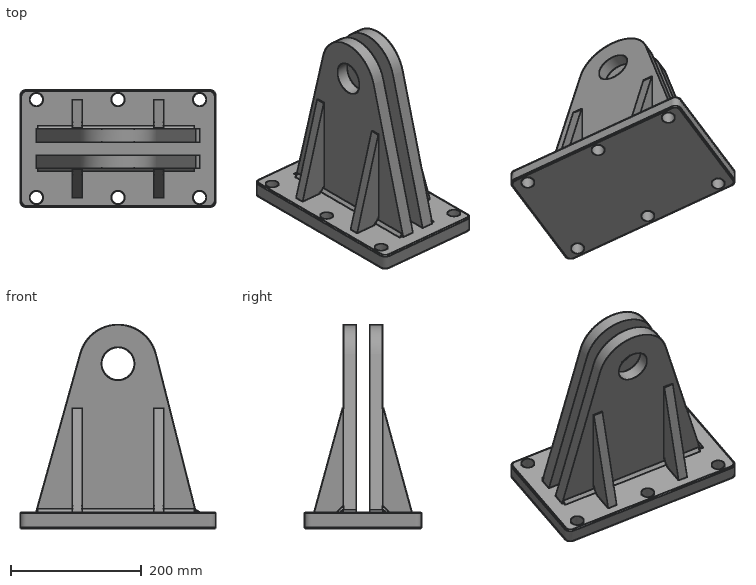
import cadquery as cq
import math

base_length = 300.0
base_width = 180.0
base_thickness = 25.0
base_corner_radius = 10.0
base_edge_chamfer = 2.0
bolt_diameter = 20.0
bolt_pitch_x = 125.0
bolt_pitch_y = 150.0

total_height = 312.5
lug_radius = 60.0
lug_bore_diameter = 50.0
lug_thickness = 20.0
lug_gap = 20.0
lug_foot_left = -125.5
lug_foot_right = 119.5
lug_center_z = total_height - lug_radius
lug_outer_y = lug_gap / 2 + lug_thickness

weld_leg = 5.0
weld_left = -123.0
weld_right = 116.5
end_weld_length = 5.5
end_weld_height = 3.8

rib_thickness = 15.0
rib_height = 159.0
rib_outer_y = bolt_pitch_y / 2
rib_top_width = 1.5
rib_foot_relief = 10.0
rib_spacing = bolt_pitch_x


def make_base():
    """Rounded plate with chamfered rims and two rows of three bolt holes."""
    plate = (
        cq.Workplane("XY")
        .rect(base_length, base_width)
        .extrude(base_thickness)
        .edges("|Z")
        .fillet(base_corner_radius)
        .faces("<Z or >Z")
        .chamfer(base_edge_chamfer)
    )
    holes = (
        cq.Workplane("XY")
        .rarray(bolt_pitch_x, bolt_pitch_y, 3, 2)
        .circle(bolt_diameter / 2)
        .extrude(base_thickness)
    )
    return plate.cut(holes)


def tangent_point(foot_distance):
    """Distance from mid-plane and height where a straight edge rising from the foot meets the arc."""
    rise = lug_center_z - base_thickness
    foot_to_center = math.hypot(foot_distance, rise)
    foot_angle = math.atan2(-rise, foot_distance)
    angle = foot_angle + math.acos(lug_radius / foot_to_center)
    return lug_radius * math.cos(angle), lug_center_z + lug_radius * math.sin(angle)


def make_lug():
    """Bored plate on the -Y side, with a round head and straight tangent edges."""
    left_x, left_z = tangent_point(-lug_foot_left)
    right_x, right_z = tangent_point(lug_foot_right)
    return (
        cq.Workplane("XZ", origin=(0, -lug_gap / 2, 0))
        .moveTo(lug_foot_left, base_thickness)
        .lineTo(-left_x, left_z)
        .threePointArc((0, total_height), (right_x, right_z))
        .lineTo(lug_foot_right, base_thickness)
        .close()
        .moveTo(0, lug_center_z)
        .circle(lug_bore_diameter / 2)
        .extrude(lug_thickness)
    )


def make_side_weld():
    """Triangular bead along the outer face of the -Y lug."""
    return (
        cq.Workplane("YZ", origin=(weld_left, 0, 0))
        .moveTo(-lug_outer_y, base_thickness)
        .lineTo(-lug_outer_y - weld_leg, base_thickness)
        .lineTo(-lug_outer_y, base_thickness + weld_leg)
        .close()
        .extrude(weld_right - weld_left)
    )


def make_end_weld():
    """Triangular bead across the +X end of the -Y lug."""
    return (
        cq.Workplane("XZ", origin=(0, -lug_gap / 2, 0))
        .moveTo(lug_foot_right, base_thickness)
        .lineTo(lug_foot_right + end_weld_length, base_thickness)
        .lineTo(lug_foot_right, base_thickness + end_weld_height)
        .close()
        .extrude(lug_thickness)
    )


def make_bracket():
    """Base plate carrying both welded lugs."""
    bracket = make_base()
    for feature in (make_lug(), make_side_weld(), make_end_weld()):
        bracket = bracket.union(feature).union(feature.mirror("XZ"))
    return bracket


def make_rib(center_x):
    """Tapered rib on the -Y side, its inner foot cut away to clear the weld."""
    return (
        cq.Workplane("YZ", origin=(center_x - rib_thickness / 2, 0, 0))
        .moveTo(-rib_outer_y, base_thickness)
        .lineTo(-lug_outer_y - rib_foot_relief, base_thickness)
        .lineTo(-lug_outer_y, base_thickness + rib_foot_relief)
        .lineTo(-lug_outer_y, base_thickness + rib_height)
        .lineTo(-lug_outer_y - rib_top_width, base_thickness + rib_height)
        .close()
        .extrude(rib_thickness)
    )


bracket = make_bracket()

ribs = []
for center_x in (-rib_spacing / 2, rib_spacing / 2):
    rib = make_rib(center_x)
    ribs.append(rib.val())
    ribs.append(rib.mirror("XZ").val())

result = cq.Compound.makeCompound([bracket.val(), *ribs])